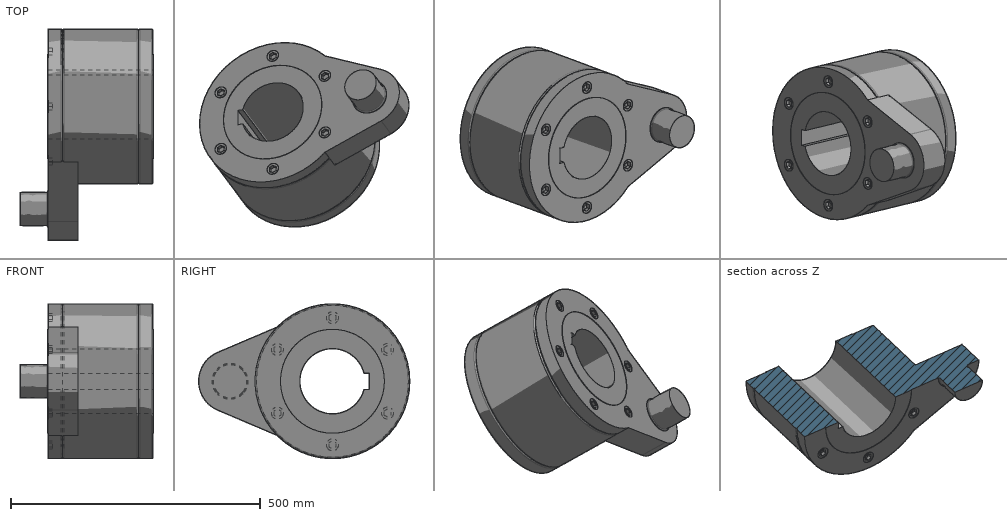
import cadquery as cq
import math

drum_radius = 155.0
drum_length = 210.0
end_round = 3.0

cover_length = 29.0
joint_round = 3.0

ring_radius = 104.0
ring_height = 1.0
ring_length = drum_length + 2 * ring_height

bore_radius = 65.0
key_width = 32.0
key_depth = 73.4

arm_reach = 205.0
arm_tip_radius = 63.0
arm_thickness = 60.0
arm_root_half_height = 108.6
flank_overlap = 20.0

pin_length = 56.0
pin_end_radius = 33.4
pin_crown_radius = 34.0
pin_foot_round = 1.5
collar_radius = 36.0
collar_height = 1.0

screw_count = 6
screw_circle_radius = 127.3
screw_head_diameter = 24.0
screw_head_recess = 1.0
socket_across_flats = 14.0
socket_depth = 8.0


def x_cylinder(radius, start, length):
    """Cylinder about the X axis."""
    return cq.Workplane("YZ").workplane(offset=start).circle(radius).extrude(length)


def joint_groove(center):
    """Ring-shaped cusp left between two rounded edges that meet."""
    arc_mid = joint_round * math.sqrt(0.5)
    arc_center_radius = drum_radius - joint_round
    clearance = 1.0
    left = center - joint_round
    right = center + joint_round
    return (
        cq.Workplane("XY")
        .moveTo(center, arc_center_radius)
        .threePointArc(
            (left + arc_mid, arc_center_radius + arc_mid),
            (left, drum_radius),
        )
        .lineTo(left, drum_radius + clearance)
        .lineTo(right, drum_radius + clearance)
        .lineTo(right, drum_radius)
        .threePointArc(
            (right - arc_mid, arc_center_radius + arc_mid),
            (center, arc_center_radius),
        )
        .close()
        .revolve(360, (0, 0, 0), (1, 0, 0))
    )


def make_drum():
    """Solid drum with its joint grooves and the proud inner ring."""
    drum = x_cylinder(drum_radius, 0, drum_length).faces(">X").edges().fillet(end_round)
    for groove_center in (cover_length, drum_length - cover_length):
        drum = drum.cut(joint_groove(groove_center))
    return drum.union(x_cylinder(ring_radius, -ring_height, ring_length))


def make_arm():
    """Plate whose straight flanks run tangent to the rounded tip."""
    root_y = -math.sqrt(drum_radius**2 - arm_root_half_height**2)
    run = arm_reach + root_y
    distance = math.hypot(run, arm_root_half_height)
    angle = math.atan2(arm_root_half_height, run) - math.asin(arm_tip_radius / distance)
    tangent_y = -arm_reach - arm_tip_radius * math.sin(angle)
    tangent_z = arm_tip_radius * math.cos(angle)
    buried_y = root_y + flank_overlap * math.cos(angle)
    buried_z = arm_root_half_height + flank_overlap * math.sin(angle)
    return (
        cq.Workplane("YZ")
        .moveTo(0, buried_z)
        .lineTo(buried_y, buried_z)
        .lineTo(tangent_y, tangent_z)
        .threePointArc((-arm_reach - arm_tip_radius, 0), (tangent_y, -tangent_z))
        .lineTo(buried_y, -buried_z)
        .lineTo(0, -buried_z)
        .close()
        .extrude(arm_thickness)
    )


def make_pin():
    """Pin with a barrel-shaped flank, a rounded foot and a low collar."""
    flank_end = -collar_height - pin_foot_round
    foot_mid = pin_foot_round * (1 - math.sqrt(0.5))
    return (
        cq.Workplane("XY")
        .moveTo(-pin_length, 0)
        .lineTo(-pin_length, pin_end_radius)
        .threePointArc(((flank_end - pin_length) / 2, pin_crown_radius), (flank_end, pin_end_radius))
        .threePointArc(
            (-collar_height - foot_mid, pin_end_radius + foot_mid),
            (-collar_height, pin_end_radius + pin_foot_round),
        )
        .lineTo(-collar_height, collar_radius)
        .lineTo(0, collar_radius)
        .lineTo(0, 0)
        .close()
        .revolve(360, (0, 0, 0), (1, 0, 0))
        .translate((0, -arm_reach, 0))
    )


def make_bore():
    """Through bore joined with its keyway."""
    bore = x_cylinder(bore_radius, -ring_height, ring_length)
    keyway = (
        cq.Workplane("XY")
        .box(ring_length, key_depth, key_width, centered=(False, False, True))
        .translate((-ring_height, 0, 0))
    )
    return bore.union(keyway)


def make_screw_pocket():
    """Head recess and hexagonal socket of the topmost screw."""
    corner_diameter = socket_across_flats / math.cos(math.pi / 6)
    recess = x_cylinder(screw_head_diameter / 2, 0, screw_head_recess)
    socket = (
        cq.Workplane("YZ")
        .transformed(rotate=(0, 0, 90))
        .polygon(6, corner_diameter)
        .extrude(screw_head_recess + socket_depth)
    )
    return recess.union(socket).translate((0, 0, screw_circle_radius))


result = make_drum().union(make_arm()).union(make_pin()).cut(make_bore())

screw_pocket = make_screw_pocket()
for screw_index in range(screw_count):
    turn = screw_index * 360 / screw_count
    result = result.cut(screw_pocket.rotate((0, 0, 0), (1, 0, 0), turn))